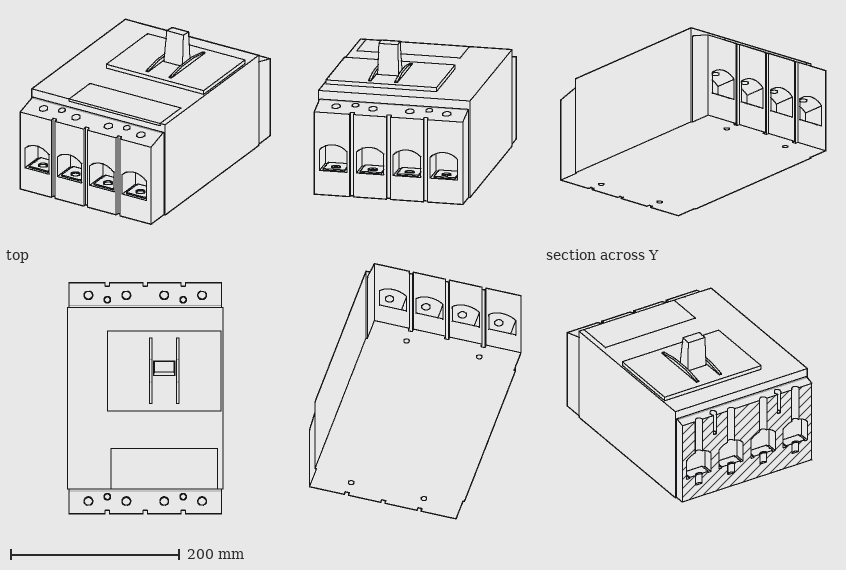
import cadquery as cq
import math


HOUSING_WIDTH = 185.0
HOUSING_LENGTH = 215.6
HOUSING_HEIGHT = 120.0

OVERALL_LENGTH = 274.4
TERMINAL_WIDTH = 181.4
TERMINAL_TOP = 109.5
TERMINAL_SLOPE_ANGLE = 15.0
TERMINAL_LEDGE = 2.5

POLE_COUNT = 4
POLE_PITCH = 45.0

GROOVE_WIDTH = 5.0
GROOVE_DEPTH = 4.2

POCKET_WIDTH = 33.4
POCKET_FLOOR = 30.0
POCKET_SHOULDER = 55.6
POCKET_CROWN = 63.0
POCKET_DEPTH = 30.0
LUG_WIDTH = 26.0
LUG_THICKNESS = 1.6
LUG_SETBACK = 3.5
LUG_HOLE_DIAMETER = 11.0
BOLT_HOLE_DIAMETER = 10.0
BOLT_HOLE_DEPTH = 12.0
LUG_HOLE_SETBACK = 14.3
SCREW_ACCESS_DIAMETER = 10.0
SCREW_ACCESS_SETBACK = 15.3

MOUNT_HOLE_DIAMETER = 6.5
MOUNT_BORE_DIAMETER = 8.0
MOUNT_BORE_FLOOR = 80.0
MOUNT_SETBACK = 20.3

PANEL_CENTER_X = POLE_PITCH / 2
PANEL_CENTER_Y = 32.5
PANEL_WIDTH = 135.0
PANEL_LENGTH = 95.0
PANEL_THICKNESS = 5.0
RAIL_SPACING = 32.0
RAIL_WIDTH = 3.0
RAIL_LENGTH = 78.0
RAIL_CREST_LENGTH = 27.0
RAIL_HEIGHT = 4.8
RAIL_END_HEIGHT = 0.7

OVERALL_HEIGHT = 164.24
HANDLE_BASE_WIDTH = 25.8
HANDLE_TOP_WIDTH = 23.0
HANDLE_BASE_FRONT = 26.8
HANDLE_BASE_BACK = 44.2
HANDLE_TOP_FRONT = 31.3
HANDLE_TOP_BACK = 43.5
HANDLE_TOP_DROP = 0.8

LABEL_WIDTH = 126.0
LABEL_LENGTH = 48.0
LABEL_THICKNESS = 3.0

housing_end = HOUSING_LENGTH / 2
overall_end = OVERALL_LENGTH / 2
slope_start = housing_end + TERMINAL_LEDGE
terminal_nose = TERMINAL_TOP - (overall_end - slope_start) * math.tan(math.radians(TERMINAL_SLOPE_ANGLE))
panel_top = HOUSING_HEIGHT + PANEL_THICKNESS

pole_centers = [(i - (POLE_COUNT - 1) / 2) * POLE_PITCH for i in range(POLE_COUNT)]
groove_centers = [(left + right) / 2 for left, right in zip(pole_centers, pole_centers[1:])]
mount_centers = [groove_centers[0], groove_centers[-1]]


def block(x_range, y_range, z_range):
    """Box given by its limits along X, Y and Z."""
    size = [high - low for low, high in (x_range, y_range, z_range)]
    corner = (x_range[0], y_range[0], z_range[0])
    return cq.Workplane("XY").box(*size, centered=False).translate(corner)


def upright_cylinder(x, y, diameter, z_low, z_high):
    """Cylinder standing along Z."""
    return cq.Workplane("XY", origin=(x, y, z_low)).circle(diameter / 2).extrude(z_high - z_low)


def terminal_end():
    """Sloped terminal end with its grooves, holes, pockets and lugs."""
    end = (
        cq.Workplane("YZ", origin=(-TERMINAL_WIDTH / 2, 0, 0))
        .moveTo(0, 0)
        .lineTo(-overall_end, 0)
        .lineTo(-overall_end, terminal_nose)
        .lineTo(-slope_start, TERMINAL_TOP)
        .lineTo(0, TERMINAL_TOP)
        .close()
        .extrude(TERMINAL_WIDTH)
    )
    for x in groove_centers:
        end = end.cut(groove(x))
    for x in mount_centers:
        end = end.cut(mounting_hole(x))
    for x in pole_centers:
        end = end.cut(terminal_opening(x))
    return end


def groove(x):
    """Full-height groove between two poles."""
    return block(
        (x - GROOVE_WIDTH / 2, x + GROOVE_WIDTH / 2),
        (-overall_end, -overall_end + GROOVE_DEPTH),
        (0, TERMINAL_TOP),
    )


def mounting_hole(x):
    """Through hole with a wider bore from above."""
    y = -overall_end + MOUNT_SETBACK
    through = upright_cylinder(x, y, MOUNT_HOLE_DIAMETER, 0, TERMINAL_TOP)
    bore = upright_cylinder(x, y, MOUNT_BORE_DIAMETER, MOUNT_BORE_FLOOR, TERMINAL_TOP)
    return through.union(bore)


def terminal_opening(x):
    """Arched pocket around a raised lug, with the screw access above and a stepped hole below."""
    half_width = POCKET_WIDTH / 2
    pocket = (
        cq.Workplane("XZ", origin=(x, -overall_end, 0))
        .moveTo(-half_width, POCKET_FLOOR)
        .lineTo(half_width, POCKET_FLOOR)
        .lineTo(half_width, POCKET_SHOULDER)
        .threePointArc((0, POCKET_CROWN), (-half_width, POCKET_SHOULDER))
        .close()
        .extrude(-POCKET_DEPTH)
    )
    lug_top = POCKET_FLOOR + LUG_THICKNESS
    lug = block(
        (x - LUG_WIDTH / 2, x + LUG_WIDTH / 2),
        (-overall_end + LUG_SETBACK, -overall_end + POCKET_DEPTH),
        (POCKET_FLOOR, lug_top),
    )
    screw_y = -overall_end + SCREW_ACCESS_SETBACK
    hole_y = -overall_end + LUG_HOLE_SETBACK
    access = upright_cylinder(x, screw_y, SCREW_ACCESS_DIAMETER, lug_top, TERMINAL_TOP)
    lug_hole = upright_cylinder(x, hole_y, LUG_HOLE_DIAMETER, POCKET_FLOOR, lug_top)
    bolt_hole = upright_cylinder(x, hole_y, BOLT_HOLE_DIAMETER, POCKET_FLOOR - BOLT_HOLE_DEPTH, POCKET_FLOOR)
    return pocket.cut(lug).union(access).union(lug_hole).union(bolt_hole)


def make_label_plate():
    """Plate let into the top face, flush with the top and the -Y face."""
    return block(
        (PANEL_CENTER_X - LABEL_WIDTH / 2, PANEL_CENTER_X + LABEL_WIDTH / 2),
        (-housing_end, -housing_end + LABEL_LENGTH),
        (HOUSING_HEIGHT - LABEL_THICKNESS, HOUSING_HEIGHT),
    )


def make_housing():
    """Main block, both terminal ends and the recess for the label plate."""
    main_block = block(
        (-HOUSING_WIDTH / 2, HOUSING_WIDTH / 2),
        (-housing_end, housing_end),
        (0, HOUSING_HEIGHT),
    )
    front_end = terminal_end()
    back_end = front_end.mirror("XZ")
    for x in pole_centers:
        opening = terminal_opening(x)
        main_block = main_block.cut(opening).cut(opening.mirror("XZ"))
    return main_block.union(front_end).union(back_end).cut(make_label_plate())


def guide_rail(x):
    """Rail beside the handle: flat crest with a ramp down to a low step at each end."""
    return (
        cq.Workplane("YZ", origin=(x - RAIL_WIDTH / 2, PANEL_CENTER_Y, panel_top))
        .moveTo(-RAIL_LENGTH / 2, 0)
        .lineTo(RAIL_LENGTH / 2, 0)
        .lineTo(RAIL_LENGTH / 2, RAIL_END_HEIGHT)
        .lineTo(RAIL_CREST_LENGTH / 2, RAIL_HEIGHT)
        .lineTo(-RAIL_CREST_LENGTH / 2, RAIL_HEIGHT)
        .lineTo(-RAIL_LENGTH / 2, RAIL_END_HEIGHT)
        .close()
        .extrude(RAIL_WIDTH)
    )


def make_panel():
    """Flat panel on the housing with a rail on each side of the handle."""
    panel = block(
        (PANEL_CENTER_X - PANEL_WIDTH / 2, PANEL_CENTER_X + PANEL_WIDTH / 2),
        (PANEL_CENTER_Y - PANEL_LENGTH / 2, PANEL_CENTER_Y + PANEL_LENGTH / 2),
        (HOUSING_HEIGHT, panel_top),
    )
    for side in (-1, 1):
        panel = panel.union(guide_rail(PANEL_CENTER_X + side * RAIL_SPACING / 2))
    return panel


def make_handle():
    """Toggle standing on the panel, tapered on all four sides, with a tilted top."""
    side_profile = (
        cq.Workplane("YZ", origin=(PANEL_CENTER_X, 0, 0))
        .moveTo(HANDLE_BASE_FRONT, panel_top)
        .lineTo(HANDLE_BASE_BACK, panel_top)
        .lineTo(HANDLE_TOP_BACK, OVERALL_HEIGHT - HANDLE_TOP_DROP)
        .lineTo(HANDLE_TOP_FRONT, OVERALL_HEIGHT)
        .close()
        .extrude(HANDLE_BASE_WIDTH / 2, both=True)
    )
    front_profile = (
        cq.Workplane("XZ", origin=(PANEL_CENTER_X, HANDLE_BASE_BACK, 0))
        .moveTo(-HANDLE_BASE_WIDTH / 2, panel_top)
        .lineTo(HANDLE_BASE_WIDTH / 2, panel_top)
        .lineTo(HANDLE_TOP_WIDTH / 2, OVERALL_HEIGHT)
        .lineTo(-HANDLE_TOP_WIDTH / 2, OVERALL_HEIGHT)
        .close()
        .extrude(HANDLE_BASE_BACK - HANDLE_BASE_FRONT)
    )
    return side_profile.intersect(front_profile)


housing = make_housing()
panel = make_panel()
handle = make_handle()
label_plate = make_label_plate()

result = cq.Compound.makeCompound([housing.val(), panel.val(), handle.val(), label_plate.val()])